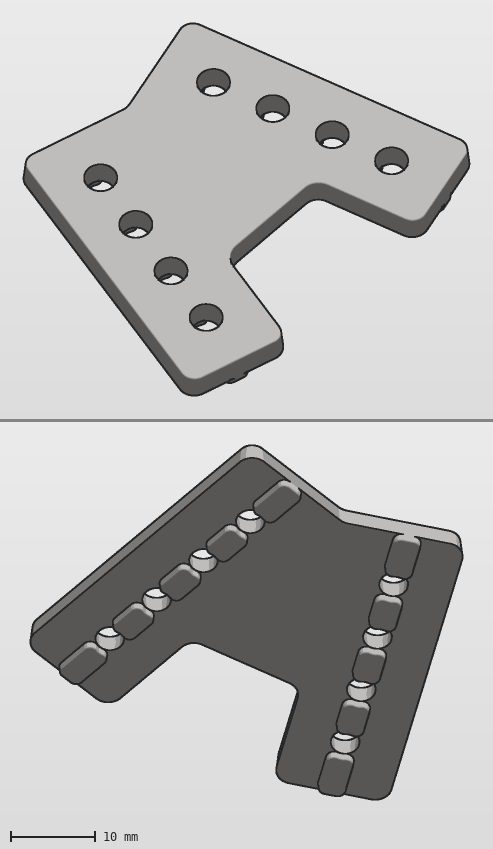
import math

import cadquery as cq


arm_length = 39.0
arm_width = 14.0
arm_angle = 30.0
arm_offset = 1.0
web_reach = 25.0

plate_thickness = 3.0
corner_radius = 2.0
draft_angle = 5.0
top_rounding = 0.25

hole_count = 4
hole_pitch = 8.0
hole_base_diameter = 3.4

key_height = 1.0
key_width = 3.4
key_corner_radius = 1.0
key_gap_diameter = 3.45
key_rounding = 0.25

arm_center_y = arm_offset + arm_width / 2
first_hole_x = (arm_length - (hole_count - 1) * hole_pitch) / 2
hole_centers = [(first_hole_x + i * hole_pitch, 0) for i in range(hole_count)]


def upper_arm_point(x, y):
    """Turn a point from the upper arm's own directions, length and width, into X and Y."""
    angle = math.radians(arm_angle)
    return (
        x * math.cos(angle) - y * math.sin(angle),
        x * math.sin(angle) + y * math.cos(angle),
    )


def make_plate():
    """Both arms and the web between them, drafted towards the top, with a rounded top rim."""
    outer_y = arm_offset + arm_width
    outline = [
        (0, 0),
        (0, -outer_y),
        (arm_length, -outer_y),
        (arm_length, -arm_offset),
        (web_reach, -arm_offset),
        upper_arm_point(web_reach, arm_offset),
        upper_arm_point(arm_length, arm_offset),
        upper_arm_point(arm_length, outer_y),
        upper_arm_point(0, outer_y),
    ]
    plate = (
        cq.Workplane("XY")
        .sketch()
        .polygon(outline + outline[:1])
        .vertices()
        .fillet(corner_radius)
        .finalize()
        .extrude(plate_thickness, taper=draft_angle)
    )
    return plate.faces(">Z").edges().fillet(top_rounding)


def make_arm_keys():
    """The keys of one arm: a bar along the X axis, interrupted by a round gap at each hole."""
    keys = (
        cq.Workplane("XY")
        .sketch()
        .push([(arm_length / 2, 0)])
        .rect(arm_length, key_width)
        .reset()
        .push(hole_centers)
        .circle(key_gap_diameter / 2, mode="s")
        .reset()
        .vertices()
        .fillet(key_corner_radius)
        .finalize()
        .extrude(-key_height, taper=draft_angle)
    )
    return keys.faces("<Z").edges().fillet(key_rounding)


def make_arm_holes():
    """The holes of one arm, widening upwards through the plate by the draft angle."""
    return (
        cq.Workplane("XY")
        .pushPoints(hole_centers)
        .circle(hole_base_diameter / 2)
        .extrude(plate_thickness, taper=-draft_angle)
    )


def on_lower_arm(feature):
    """Move a feature from the X axis to the centre line of the lower arm."""
    return feature.translate((0, -arm_center_y, 0))


def on_upper_arm(feature):
    """Move a feature from the X axis to the centre line of the upper arm."""
    return feature.translate((0, arm_center_y, 0)).rotate((0, 0, 0), (0, 0, 1), arm_angle)


result = make_plate()
for place in (on_lower_arm, on_upper_arm):
    result = result.union(place(make_arm_keys()))
    result = result.cut(place(make_arm_holes()))